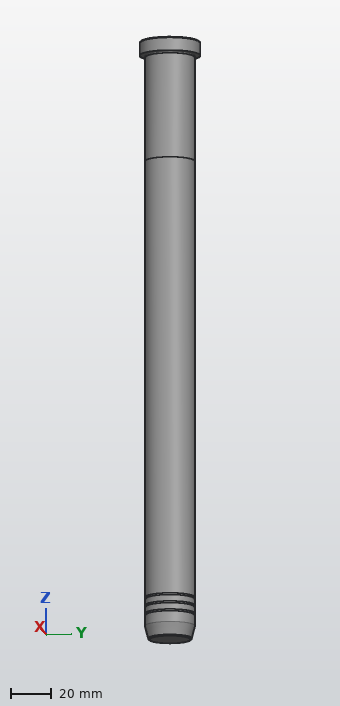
import cadquery as cq

total_length = 300.0
head_diameter = 30.0
head_thickness = 7.0
head_chamfer = 0.5
shaft_diameter = 25.0

head_section_length = 60.0

tip_length = 7.0
tip_end_diameter = 21.5
tip_chamfer = 0.5

groove_radius = 0.45
ring_count = 3
ring_pitch = 4.05
lowest_ring_height = 12.5

top_z = total_length / 2
bottom_z = -total_length / 2
joint_z = top_z - head_section_length
shaft_radius = shaft_diameter / 2
tip_end_radius = tip_end_diameter / 2


def make_groove(center_z):
    """Ring of round section to remove for one half-round groove in the shaft surface."""
    return cq.Workplane("XY").add(
        cq.Solid.makeTorus(shaft_radius, groove_radius, cq.Vector(0, 0, center_z), cq.Vector(0, 0, 1))
    )


def make_headed_shank():
    """Chamfered round head on a cylindrical shank, with an undercut below the head."""
    shank_length = head_section_length - head_thickness
    head_bottom_z = top_z - head_thickness
    shank = cq.Workplane("XY", origin=(0, 0, joint_z)).circle(shaft_radius).extrude(shank_length)
    shank = shank.cut(make_groove(head_bottom_z - groove_radius))
    head = cq.Workplane("XY", origin=(0, 0, head_bottom_z)).circle(head_diameter / 2).extrude(head_thickness)
    return shank.union(head.faces(">Z").edges().chamfer(head_chamfer))


def make_guide_shaft():
    """Long shaft with a conical tip, a broken end edge and ring grooves above the tip."""
    shaft = (
        cq.Workplane("XZ")
        .moveTo(0, bottom_z)
        .lineTo(tip_end_radius - tip_chamfer, bottom_z)
        .lineTo(tip_end_radius, bottom_z + tip_chamfer)
        .lineTo(shaft_radius, bottom_z + tip_length)
        .lineTo(shaft_radius, joint_z)
        .lineTo(0, joint_z)
        .close()
        .revolve(360, (0, 0, 0), (0, 1, 0))
    )
    for index in range(ring_count):
        shaft = shaft.cut(make_groove(bottom_z + lowest_ring_height + index * ring_pitch))
    return shaft


headed_shank = make_headed_shank()
guide_shaft = make_guide_shaft()

result = cq.Compound.makeCompound([headed_shank.val(), guide_shaft.val()])